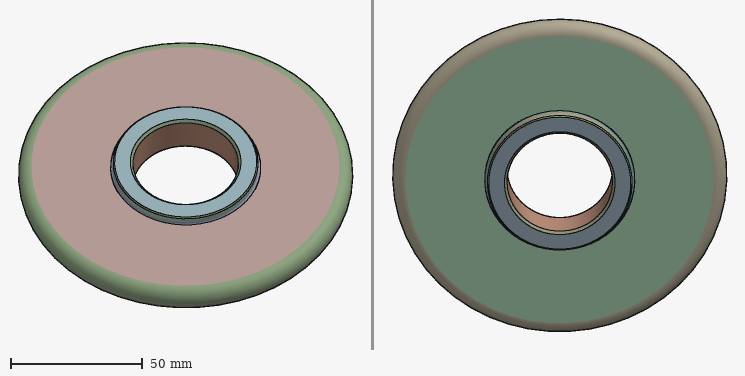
import cadquery as cq
import math

wheel_diameter = 127.0
wheel_thickness = 10.2
rim_band_width = 0.3
rim_radius = (wheel_thickness - rim_band_width) / 2

hub_length = 16.0
hub_diameter = 55.0
seat_diameter = 57.0
bore_diameter = 40.0
hub_chamfer = 0.5
bore_chamfer = 1.0
foot_radius = (seat_diameter - hub_diameter) / 2


def make_wheel():
    """Disc with a round rim, two quarter arcs beside a narrow flat band, and a bore that fits the hub seat."""
    outer = wheel_diameter / 2
    bore = seat_diameter / 2
    half = wheel_thickness / 2
    flat = outer - rim_radius
    band = rim_band_width / 2
    arc_offset = rim_radius * math.sqrt(0.5)
    return (
        cq.Workplane("XZ")
        .moveTo(bore, -half)
        .lineTo(flat, -half)
        .threePointArc((flat + arc_offset, -band - arc_offset), (outer, -band))
        .lineTo(outer, band)
        .threePointArc((flat + arc_offset, band + arc_offset), (flat, half))
        .lineTo(bore, half)
        .close()
        .revolve(360, (0, 0, 0), (0, 1, 0))
    )


def make_hub():
    """Chamfered sleeve with a wider seat; concave fillets sink its shoulders below the wheel faces."""
    outer = hub_diameter / 2
    inner = bore_diameter / 2
    seat = seat_diameter / 2
    end = hub_length / 2
    fillet_top = wheel_thickness / 2
    shoulder = fillet_top - foot_radius
    fillet_mid_radius = seat - foot_radius * math.sqrt(0.5)
    fillet_mid_height = fillet_top - foot_radius * math.sqrt(0.5)
    return (
        cq.Workplane("XZ")
        .moveTo(inner, -end + bore_chamfer)
        .lineTo(inner + bore_chamfer, -end)
        .lineTo(outer - hub_chamfer, -end)
        .lineTo(outer, -end + hub_chamfer)
        .lineTo(outer, -fillet_top)
        .threePointArc((fillet_mid_radius, -fillet_mid_height), (seat, -shoulder))
        .lineTo(seat, shoulder)
        .threePointArc((fillet_mid_radius, fillet_mid_height), (outer, fillet_top))
        .lineTo(outer, end - hub_chamfer)
        .lineTo(outer - hub_chamfer, end)
        .lineTo(inner + bore_chamfer, end)
        .lineTo(inner, end - bore_chamfer)
        .close()
        .revolve(360, (0, 0, 0), (0, 1, 0))
    )


wheel = make_wheel()
hub = make_hub()
result = cq.Compound.makeCompound([wheel.val(), hub.val()])